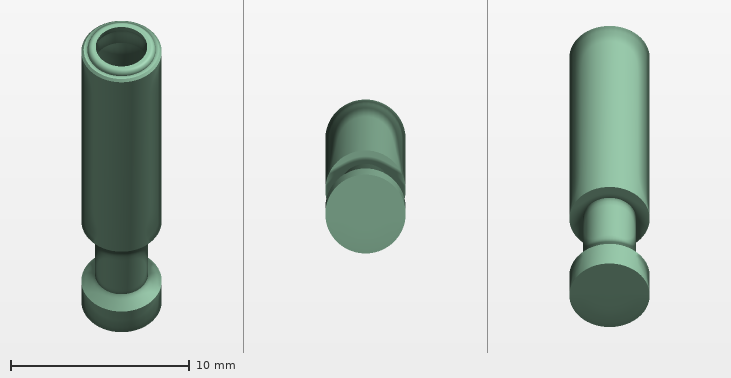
import cadquery as cq
import math

total_length = 22.2
body_diameter = 4.5
body_radius = body_diameter / 2
neck_radius = 1.49

foot_height = 1.8
shoulder_top = 2.4
body_bottom = 7.02

lip_height = 0.29
lip_radius = 1.9
lip_round = lip_height
rim_chamfer = 0.13
rim_height = total_length - lip_height

mouth_radius = 1.45
bore_radius = 1.55
taper_end_radius = 1.2
mouth_depth = 0.5
bore_depth = 1.5
taper_angle = 12.0
tip_angle = 118.0
taper_depth = (bore_radius - taper_end_radius) / math.tan(math.radians(taper_angle))
tip_depth = taper_end_radius / math.tan(math.radians(tip_angle / 2))
mouth_bottom = total_length - mouth_depth
bore_bottom = total_length - bore_depth
taper_bottom = bore_bottom - taper_depth

arc_offset = lip_round * math.sqrt(0.5)

profile = (
    cq.Workplane("XZ")
    .moveTo(0, 0)
    .lineTo(body_radius, 0)
    .lineTo(body_radius, foot_height)
    .lineTo(neck_radius, shoulder_top)
    .lineTo(neck_radius, body_bottom)
    .lineTo(body_radius, body_bottom)
    .lineTo(body_radius, rim_height - rim_chamfer)
    .lineTo(body_radius - rim_chamfer, rim_height)
    .lineTo(lip_radius, rim_height)
    .threePointArc(
        (lip_radius - lip_round + arc_offset, rim_height + arc_offset),
        (lip_radius - lip_round, total_length),
    )
    .lineTo(mouth_radius, total_length)
    .lineTo(bore_radius, mouth_bottom)
    .lineTo(bore_radius, bore_bottom)
    .lineTo(taper_end_radius, taper_bottom)
    .lineTo(0, taper_bottom - tip_depth)
    .close()
)
result = profile.revolve(360, (0, 0, 0), (0, 1, 0))